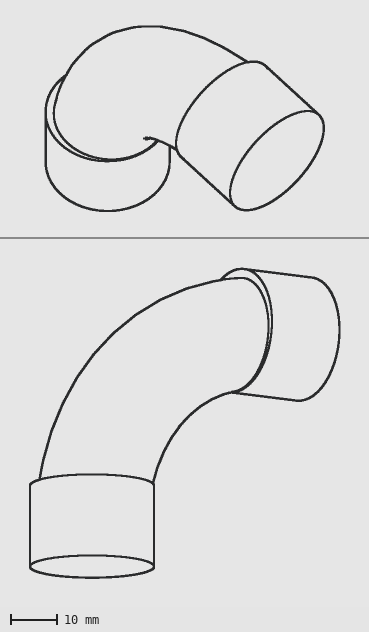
import cadquery as cq

overall_size = 69.5
collar_diameter = 27.0
collar_length = 17.85
tube_diameter = 24.3

collar_radius = collar_diameter / 2
bend_start = collar_length / 2
bend_radius = overall_size - collar_radius - bend_start
upper_axis_height = overall_size - collar_radius
right_end = overall_size - collar_radius


def make_bend():
    """Quarter torus turning from vertical (+Z) to horizontal (+X)."""
    return (
        cq.Workplane("XY", origin=(0, 0, bend_start))
        .circle(tube_diameter / 2)
        .revolve(90, (bend_radius, 0, 0), (bend_radius, 1, 0))
    )


def make_collar(plane, origin):
    """Plain cylindrical collar extruded from the given base plane."""
    return cq.Workplane(plane, origin=origin).circle(collar_radius).extrude(collar_length)


lower_collar = make_collar("XY", (0, 0, 0))
upper_collar = make_collar("YZ", (right_end - collar_length, 0, upper_axis_height))

result = make_bend().union(lower_collar).union(upper_collar)